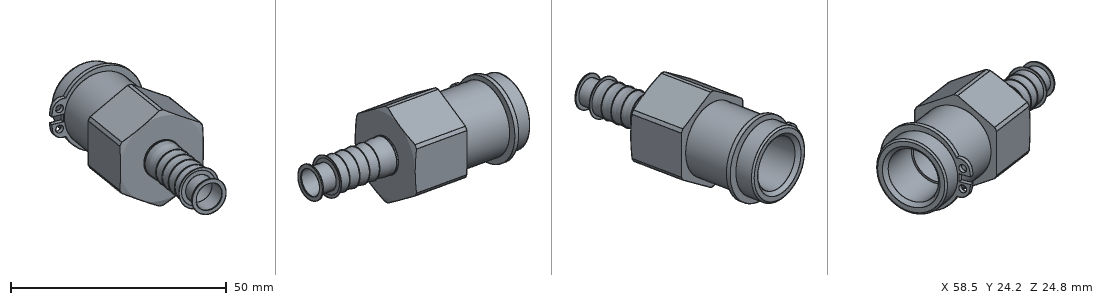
import cadquery as cq

length = 58.5

barrel_diameter = 19.0
nose_diameter = 18.0
nose_chamfer_length = 0.4

hex_start = 20.5
hex_end = 36.0
across_flats = 22.0
corner_diameter = 24.8
hex_end_diameter = 21.95
hex_chamfer_length = 0.4

collar_diameter = 9.7
collar_end = 36.4
barb_high_diameter = 9.5
barb_low_diameter = 9.0
first_taper_start = 38.45
taper_length = 1.5
barb_pitch = 3.0
barb_count = 5

inner_flange_start = 53.35
inner_flange_diameter = 10.5
inner_flange_thickness = 0.2
end_flange_diameter = 9.0
end_flange_thickness = 0.35
tube_diameter = 7.0

mouth_diameter = 15.45
socket_diameter = 13.5
mouth_chamfer_length = 1.0
socket_end = 11.7
seat_diameter = 12.5
seat_end = 23.4
cone_end = 25.0
passage_diameter = 6.9

groove_start = 5.15
groove_end = 6.45
groove_diameter = nose_diameter
ring_start = 5.25
ring_thickness = groove_end - ring_start
ring_outer_radius = 10.9
ring_offset = 0.5
ring_gap = 2.0
ring_gap_floor_y = 9.75
lug_tip = 12.85
lug_half_height = 5.05
lug_top_y = 9.75
lug_shoulder_y = 11.95
lug_shoulder_z = 4.1
lug_corner_y = 12.65
lug_corner_z = 2.6
lug_hole_diameter = 2.0
lug_hole_y = 10.75
lug_hole_z = 2.65


def cylinder(start, end, diameter):
    """Cylinder on the X axis between two stations."""
    return cq.Workplane("YZ", origin=(start, 0, 0)).circle(diameter / 2).extrude(end - start)


def revolved(stations):
    """Solid of revolution about X from (x, diameter) stations."""
    outline = [(stations[0][0], 0)]
    outline += [(x, diameter / 2) for x, diameter in stations]
    outline.append((stations[-1][0], 0))
    return cq.Workplane("XY").polyline(outline).close().revolve(360, (0, 0, 0), (1, 0, 0))


def make_barrel():
    barrel = revolved([
        (0, nose_diameter),
        (nose_chamfer_length, barrel_diameter),
        (hex_start, barrel_diameter),
    ])
    groove = cylinder(groove_start, groove_end, barrel_diameter)
    groove = groove.cut(cylinder(groove_start, groove_end, groove_diameter))
    return barrel.cut(groove)


def make_hex_body():
    prism = (
        cq.Workplane("YZ", origin=(hex_start, 0, 0))
        .polygon(6, across_flats, circumscribed=True)
        .extrude(hex_end - hex_start)
    )
    turned_blank = revolved([
        (hex_start, corner_diameter),
        (hex_end - hex_chamfer_length, corner_diameter),
        (hex_end, hex_end_diameter),
    ])
    return prism.intersect(turned_blank)


def make_hose_barb():
    stations = [
        (hex_end, collar_diameter),
        (collar_end, collar_diameter),
        (collar_end, barb_high_diameter),
    ]
    for index in range(barb_count):
        crest = first_taper_start + index * barb_pitch
        if index > 0:
            stations.append((crest, barb_low_diameter))
        stations.append((crest, barb_high_diameter))
        stations.append((crest + taper_length, barb_low_diameter))
    inner_flange_end = inner_flange_start + inner_flange_thickness
    end_flange_start = length - end_flange_thickness
    stations += [
        (inner_flange_start, barb_low_diameter),
        (inner_flange_start, inner_flange_diameter),
        (inner_flange_end, inner_flange_diameter),
        (inner_flange_end, tube_diameter),
        (end_flange_start, tube_diameter),
        (end_flange_start, end_flange_diameter),
        (length, end_flange_diameter),
    ]
    return revolved(stations)


def make_passage():
    return revolved([
        (0, mouth_diameter),
        (mouth_chamfer_length, socket_diameter),
        (socket_end, socket_diameter),
        (socket_end, seat_diameter),
        (seat_end, seat_diameter),
        (cone_end, passage_diameter),
        (length, passage_diameter),
    ])


def make_retaining_ring():
    plane = cq.Workplane("YZ", origin=(ring_start, 0, 0))
    ring = plane.center(ring_offset, 0).circle(ring_outer_radius).extrude(ring_thickness)
    for side in (1, -1):
        lug = (
            plane.moveTo(0, side * ring_gap / 2)
            .lineTo(-lug_tip, side * ring_gap / 2)
            .lineTo(-lug_corner_y, side * lug_corner_z)
            .threePointArc(
                (-lug_shoulder_y, side * lug_shoulder_z),
                (-lug_top_y, side * lug_half_height),
            )
            .lineTo(0, side * lug_half_height)
            .close()
            .extrude(ring_thickness)
        )
        ring = ring.union(lug)
    holes = (
        plane.pushPoints([(-lug_hole_y, lug_hole_z), (-lug_hole_y, -lug_hole_z)])
        .circle(lug_hole_diameter / 2)
        .extrude(ring_thickness)
    )
    gap_depth = lug_tip - ring_gap_floor_y
    gap_center_y = -(lug_tip + ring_gap_floor_y) / 2
    gap = plane.center(gap_center_y, 0).rect(gap_depth, ring_gap).extrude(ring_thickness)
    bore = cylinder(ring_start, groove_end, groove_diameter)
    return ring.cut(holes).cut(gap).cut(bore)


outer_body = make_barrel().union(make_hex_body()).union(make_hose_barb())
result = outer_body.union(make_retaining_ring()).cut(make_passage())